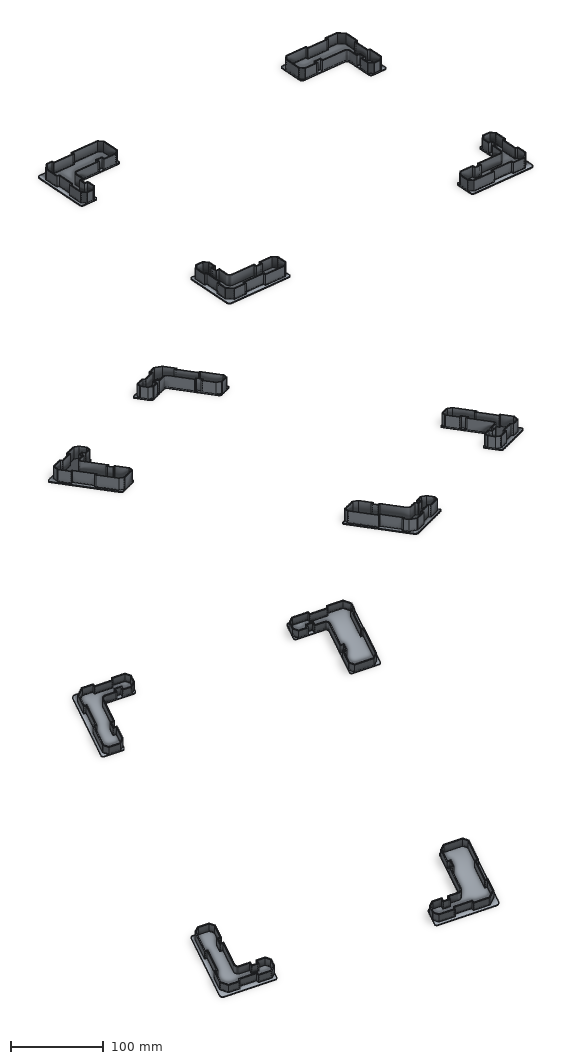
import cadquery as cq

SPAN_X = 326.0
SPAN_Y = 427.5
HEIGHT = 15.0

ARM_Y_LENGTH = 87.0
ARM_X_WIDTH = 22.5
LEFT_ARM_X_LENGTH = 75.3
LEFT_ARM_Y_WIDTH = 36.0
RIGHT_ARM_X_LENGTH = 66.3
RIGHT_ARM_Y_WIDTH = 27.0

PLATE_THICKNESS = 1.3
WALL_THICKNESS = 1.3
FLANGE = 3.0
PLATE_OUTER_RADIUS = 4.0
PLATE_END_RADIUS = 2.5
WALL_OUTER_CHAMFER = 7.3
WALL_END_CHAMFER = 5.0
INSIDE_RADIUS = 4.0

RECESS_DEPTH = 3.0
RECESS_X_LENGTH = 21.5
RECESS_Y_LENGTH = 26.5
RECESS_X_SLOPE = 1.0
LEFT_RECESS_X = 29.5
RIGHT_RECESS_X = 24.0
RECESS_Y = 27.0
FRONT_LEFT_RECESS_Y = 18.5

NOTCH_WIDTH = 6.5
NOTCH_X_DEPTH = 4.3
NOTCH_Y_DEPTH = 4.0
LEFT_NOTCH_X = 55.0
RIGHT_NOTCH_X = 47.0
NOTCH_Y = 60.7


def l_prism(arm_x_length, arm_y_width, start, height):
    """L-shaped prism with its two outer sides at `start` and a rounded inside corner."""
    arm_x = cq.Workplane("XY").box(arm_x_length - start, ARM_X_WIDTH - start, height, centered=False)
    arm_y = cq.Workplane("XY").box(arm_y_width - start, ARM_Y_LENGTH - start, height, centered=False)
    inside_corner = cq.selectors.NearestToPointSelector((arm_y_width, ARM_X_WIDTH, height / 2))
    return arm_x.union(arm_y).translate((start, start, 0)).edges(inside_corner).fillet(INSIDE_RADIUS)


def base_plate(arm_x_length, arm_y_width):
    """Flat L-shaped plate with rounded corners."""
    plate = l_prism(arm_x_length, arm_y_width, 0, PLATE_THICKNESS)
    plate = plate.edges("|Z").edges(">X or >Y").fillet(PLATE_END_RADIUS)
    return plate.edges("|Z").edges("<XY").fillet(PLATE_OUTER_RADIUS)


def chamfered_block(arm_x_length, arm_y_width):
    """L-shaped block that gives the wall its outer faces."""
    block = l_prism(arm_x_length, arm_y_width, FLANGE, HEIGHT)
    block = block.edges("|Z").edges(">X or >Y").chamfer(WALL_END_CHAMFER)
    return block.edges("|Z").edges("<XY").chamfer(WALL_OUTER_CHAMFER)


def box_cutter(x_start, y_start, x_length, y_length):
    """Full-height block with its lower corner at the given place."""
    block = cq.Workplane("XY").box(x_length, y_length, HEIGHT, centered=False)
    return block.translate((x_start, y_start, 0))


def sloped_recess(x_start):
    """Recess cutter beside the X arm, with slanted ends."""
    x_end = x_start + RECESS_X_LENGTH
    back = FLANGE + RECESS_DEPTH
    return (
        cq.Workplane("XY")
        .moveTo(x_start, FLANGE)
        .lineTo(x_end, FLANGE)
        .lineTo(x_end - RECESS_X_SLOPE, back)
        .lineTo(x_start + RECESS_X_SLOPE, back)
        .close()
        .extrude(HEIGHT)
    )


def thin_wall(block):
    """Hollow a block so that a wall of even thickness follows its outline."""
    outline = cq.Workplane("XY").newObject(block.faces("<Z").wires().vals()).toPending()
    inside = outline.offset2D(-WALL_THICKNESS, "intersection").extrude(HEIGHT)
    return block.cut(inside)


def tray(arm_x_length, arm_y_width, recess_x, recess_y, notch_x):
    """Tray with its outer corner at the origin and its arms along +X and +Y."""
    x_arm_notch = box_cutter(
        notch_x - NOTCH_WIDTH / 2, ARM_X_WIDTH - NOTCH_X_DEPTH, NOTCH_WIDTH, NOTCH_X_DEPTH
    )
    y_arm_notch = box_cutter(
        arm_y_width - NOTCH_Y_DEPTH, NOTCH_Y - NOTCH_WIDTH / 2, NOTCH_Y_DEPTH, NOTCH_WIDTH
    )
    block = (
        chamfered_block(arm_x_length, arm_y_width)
        .cut(sloped_recess(recess_x))
        .cut(box_cutter(FLANGE, recess_y, RECESS_DEPTH, RECESS_Y_LENGTH))
        .cut(x_arm_notch)
        .cut(y_arm_notch)
    )
    return base_plate(arm_x_length, arm_y_width).union(thin_wall(block))


def place(body, side_x, side_y):
    """Mirror a tray as needed and move its outer corner to one corner of the layout."""
    if side_x > 0:
        body = body.mirror("YZ")
    if side_y > 0:
        body = body.mirror("XZ")
    return body.translate((side_x * SPAN_X / 2, side_y * SPAN_Y / 2, 0))


trays = []
for side_y in (-1, 1):
    left_recess_y = FRONT_LEFT_RECESS_Y if side_y < 0 else RECESS_Y
    left = tray(LEFT_ARM_X_LENGTH, LEFT_ARM_Y_WIDTH, LEFT_RECESS_X, left_recess_y, LEFT_NOTCH_X)
    right = tray(RIGHT_ARM_X_LENGTH, RIGHT_ARM_Y_WIDTH, RIGHT_RECESS_X, RECESS_Y, RIGHT_NOTCH_X)
    trays.append(place(left, -1, side_y))
    trays.append(place(right, 1, side_y))

result = cq.Compound.makeCompound([body.val() for body in trays])